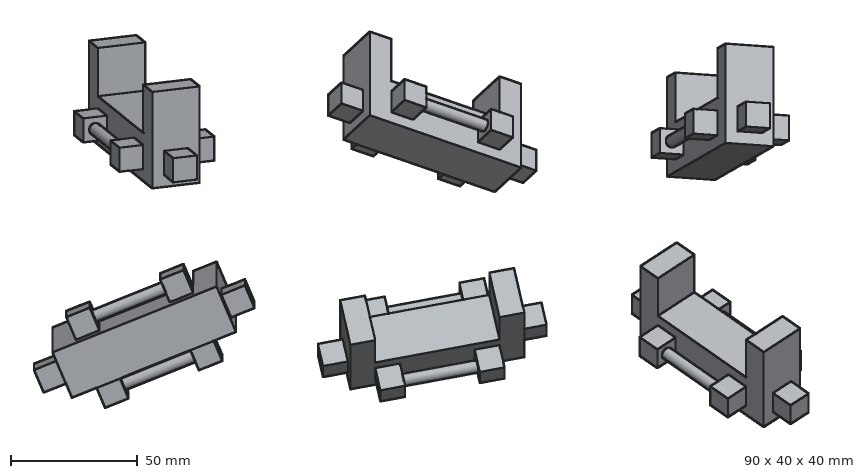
import cadquery as cq

overall_length = 90.0
block = overall_length / 9
body_length = overall_length - 2 * block
body_width = 2 * block
body_height = 4 * block
floor_height = 2 * block
channel_length = body_length - 2 * block
rod_diameter = block / 2

cube_center_z = floor_height / 2
end_cube_x = (body_length + block) / 2
side_cube_x = (channel_length - block) / 2
side_cube_y = (body_width + block) / 2
rod_length = 2 * side_cube_x - block


def make_body():
    """U-shaped body, open at the top, standing on Z = 0."""
    body = cq.Workplane("XY").box(
        body_length, body_width, body_height, centered=(True, True, False)
    )
    channel = (
        cq.Workplane("XY")
        .workplane(offset=floor_height)
        .rect(channel_length, body_width)
        .extrude(body_height - floor_height)
    )
    return body.cut(channel)


def make_cube(x, y):
    """Cube centred at half the floor height."""
    return cq.Workplane("XY").box(block, block, block).translate((x, y, cube_center_z))


def make_rod(y):
    """Round bar along X between the two cubes on one side."""
    return (
        cq.Workplane("YZ", origin=(-rod_length / 2, y, cube_center_z))
        .circle(rod_diameter / 2)
        .extrude(rod_length)
    )


result = make_body()

for end in (-1, 1):
    result = result.union(make_cube(end * end_cube_x, 0))

for side in (-1, 1):
    for end in (-1, 1):
        result = result.union(make_cube(end * side_cube_x, side * side_cube_y))
    result = result.union(make_rod(side * side_cube_y))